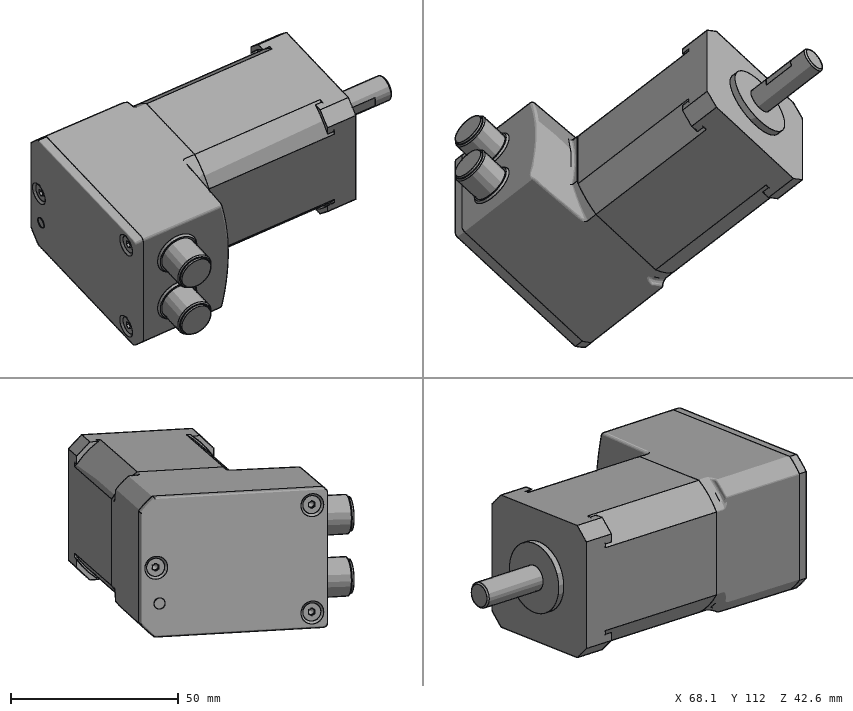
import cadquery as cq
import math


frame_width = 42.2
frame_half = frame_width / 2
motor_length = 52.0
corner_flat_width = 4.1
body_corner_radius = 24.9
flange_thickness = 10.0
groove_radius = 25.55
groove_end_y = -7.6
pilot_diameter = 22.0
pilot_height = 2.0
shaft_diameter = 8.0
shaft_length = 24.0
shaft_end_chamfer = 0.5
shaft_flat_depth = 0.35
shaft_flat_start = 8.0
shaft_flat_length = 10.0

cover_height = 42.58
cover_half = cover_height / 2
cover_left = -cover_half
cover_right = 36.2
cover_thickness = 3.0
cover_edge_fillet = 0.5
corner_bevel = 4.3
bevel_radius = 27.2
bevel_edge_fillet = 1.0
side_corner_radius = 1.4
overall_length_behind_flange = 88.0
cover_joint_y = cover_thickness - overall_length_behind_flange
housing_length = -motor_length - cover_joint_y
draft_angle = math.degrees(math.atan((cover_half - frame_half) / housing_length))

core_right = 21.6
wall_near_y = -53.4
wall_far_y = -54.5
wall_near_bow = 3.05
wall_far_bow = 2.55
wall_fillet = 1.0

recess_floor_end_y = -54.7
recess_fillet = 1.2
recess_rim_fillet = 0.7

screw_places = [(31.4, 16.4), (31.4, -16.4), (-16.6, 0.0)]
screw_sink_diameter = 7.0
screw_head_diameter = 5.54
screw_sink_depth = 0.7
screw_socket_width = 2.0
screw_socket_depth = 1.0
socket_point_depth = 0.6
indicator_place = (-15.55, -11.0)
indicator_diameter = 3.4
indicator_depth = 0.2

connector_y = -73.0
connector_z_places = [-9.5, 9.5]
overall_width = 68.08
connector_end_x = cover_left + overall_width
collar_diameter = 13.9
collar_length = 0.7
collar_slope = 35.0
barrel_diameter = 11.85
nose_diameter = 10.3
nose_length = 0.7
barrel_chamfer = 0.4

clearance = 5.0


def plane_at_y(y):
    """Plane facing -Y whose local axes are X and Z."""
    return cq.Workplane("XZ", origin=(0, y, 0))


def rod(y_start, y_end, diameter):
    return plane_at_y(y_end).circle(diameter / 2).extrude(y_end - y_start)


def motor_core(y_start, y_end, right):
    """Stator section: flat sides, corners rounded about the motor axis."""
    width = frame_half + right
    square = (
        plane_at_y(y_end).center(right - width / 2, 0)
        .rect(width, frame_width + 2 * clearance).extrude(y_end - y_start)
    )
    return rod(y_start, y_end, 2 * body_corner_radius).intersect(square)


def make_motor():
    block = plane_at_y(0).rect(frame_width, frame_width).extrude(motor_length)
    block = block.edges("|Y").chamfer(corner_flat_width)

    outside = plane_at_y(-flange_thickness).rect(frame_width, frame_width).extrude(motor_length)
    block = block.cut(outside.cut(rod(-2 * motor_length, 0, 2 * body_corner_radius)))

    groove = rod(-flange_thickness, groove_end_y, 2 * groove_radius)
    block = block.cut(groove.cut(rod(-flange_thickness, groove_end_y, 2 * body_corner_radius)))

    shaft = rod(0, shaft_length, shaft_diameter).faces(">Y").chamfer(shaft_end_chamfer)
    shaft_flat = cq.Workplane("XY").box(
        shaft_diameter, shaft_flat_length, shaft_diameter, centered=(False, False, True)
    ).translate((shaft_diameter / 2 - shaft_flat_depth, shaft_flat_start, 0))
    return block.union(rod(0, pilot_height, pilot_diameter)).union(shaft.cut(shaft_flat))


def housing_outline(right):
    """Outline of the housing and cover at their joint: bowed bevels at -X, sharp corners at +X."""
    bevel_x = cover_left + corner_bevel
    bevel_z = cover_half - corner_bevel
    chord = corner_bevel * math.sqrt(2)
    sagitta = bevel_radius - math.sqrt(bevel_radius**2 - (chord / 2) ** 2)
    return (
        plane_at_y(cover_joint_y)
        .moveTo(right, -cover_half)
        .lineTo(right, cover_half)
        .lineTo(bevel_x, cover_half)
        .sagittaArc((cover_left, bevel_z), -sagitta)
        .lineTo(cover_left, -bevel_z)
        .sagittaArc((bevel_x, -cover_half), -sagitta)
        .close()
    )


def wall_section(x, crest_y, bow):
    """Closed section, in a plane across X, of the space in front of the bowed wall."""
    top = cover_half + clearance
    edge_y = crest_y - bow * (top / cover_half) ** 2
    front_y = clearance - motor_length
    return (
        cq.Workplane("YZ", origin=(x, 0, 0))
        .moveTo(front_y, -top)
        .lineTo(edge_y, -top)
        .threePointArc((crest_y, 0), (edge_y, top))
        .lineTo(front_y, top)
        .close()
        .wire().val()
    )


def space_in_front_of_wall():
    """Straight-sided space between two wall sections, running past the housing at both ends."""
    inner_x = 0
    outer_x = cover_right + clearance
    run = cover_right - core_right

    def along(near, far, x):
        return near + (far - near) * (x - core_right) / run

    sections = [
        wall_section(x, along(wall_near_y, wall_far_y, x), along(wall_near_bow, wall_far_bow, x))
        for x in (inner_x, outer_x)
    ]
    return cq.Workplane(cq.Solid.makeLoft(sections, True))


def left_corner_recess():
    """Space outside the stator corners on the -X side, ending in a concave fillet."""
    outer_radius = body_corner_radius + recess_fillet
    end_y = recess_floor_end_y - recess_fillet
    mid = recess_fillet * (1 - math.sqrt(0.5))
    ring = (
        cq.Workplane("XY")
        .moveTo(body_corner_radius, clearance - motor_length)
        .lineTo(body_corner_radius, recess_floor_end_y)
        .threePointArc((body_corner_radius + mid, end_y + mid), (outer_radius, end_y))
        .lineTo(outer_radius + clearance, end_y)
        .lineTo(outer_radius + clearance, clearance - motor_length)
        .close()
        .revolve(360, (0, 0, 0), (0, 1, 0))
    )
    left_half = (
        plane_at_y(0).center(-frame_width, 0)
        .rect(2 * frame_width, 2 * frame_width).extrude(overall_length_behind_flange)
    )
    return ring.intersect(left_half)


def make_housing():
    body = housing_outline(cover_right + clearance).extrude(-housing_length, taper=draft_angle)
    beyond_side = (
        plane_at_y(-motor_length).center(cover_right + clearance, 0)
        .rect(2 * clearance, cover_height).extrude(housing_length)
    )
    body = body.cut(beyond_side)
    body = body.edges(">X and (not |Z)").fillet(side_corner_radius)

    bevel_edges = cq.selectors.BoxSelector(
        (cover_left - clearance, cover_joint_y + clearance, -cover_height),
        (cover_left + corner_bevel + clearance, -motor_length - clearance, cover_height),
    )
    body = body.edges(bevel_edges).fillet(bevel_edge_fillet)
    body = body.cut(left_corner_recess())

    rim_edges = cq.selectors.BoxSelector(
        (cover_left - clearance, recess_floor_end_y - 1.5 * recess_fillet, -cover_height),
        (0, recess_floor_end_y - 0.1 * recess_fillet, cover_height),
    )
    body = body.edges(rim_edges).fillet(recess_rim_fillet)

    body = body.cut(space_in_front_of_wall().cut(motor_core(cover_joint_y, 0, core_right)))
    wall_centre = ((core_right + cover_right) / 2, (wall_near_y + wall_far_y) / 2, 0)
    wall = body.faces(cq.selectors.NearestToPointSelector(wall_centre))
    return wall.edges().fillet(wall_fillet)


def make_cover():
    cover = housing_outline(cover_right).extrude(cover_thickness)
    cover = cover.edges("|Y and >X").fillet(side_corner_radius)
    cover = cover.faces("<Y").edges().fillet(cover_edge_fillet)
    outer_face = plane_at_y(-overall_length_behind_flange)
    socket_floor_y = screw_sink_depth + screw_socket_depth - overall_length_behind_flange
    for x, z in screw_places:
        sink = (
            outer_face.center(x, z).circle(screw_sink_diameter / 2)
            .workplane(offset=-screw_sink_depth).circle(screw_head_diameter / 2).loft()
        )
        socket = (
            outer_face.center(x, z)
            .polygon(6, screw_socket_width, circumscribed=True)
            .extrude(-screw_sink_depth - screw_socket_depth)
        )
        socket_point = cq.Solid.makeCone(
            screw_socket_width / 2, 0, socket_point_depth,
            pnt=cq.Vector(x, socket_floor_y, z), dir=cq.Vector(0, 1, 0),
        )
        cover = cover.cut(sink).cut(socket).cut(cq.Workplane(socket_point))
    indicator = outer_face.center(*indicator_place).circle(indicator_diameter / 2).extrude(-indicator_depth)
    return cover.cut(indicator)


def make_connector(z):
    base = cq.Workplane("YZ", origin=(cover_right, connector_y, z))
    length = connector_end_x - cover_right
    collar = base.circle(collar_diameter / 2).extrude(collar_length, taper=collar_slope)
    barrel = base.circle(barrel_diameter / 2).extrude(length - nose_length)
    barrel = barrel.faces(">X").chamfer(barrel_chamfer)
    nose = base.circle(nose_diameter / 2).extrude(length)
    return collar.union(barrel).union(nose)


motor = make_motor()
housing = make_housing()
cover = make_cover()
connectors = [make_connector(z).val() for z in connector_z_places]

result = cq.Compound.makeCompound([motor.val(), housing.val(), cover.val(), *connectors])